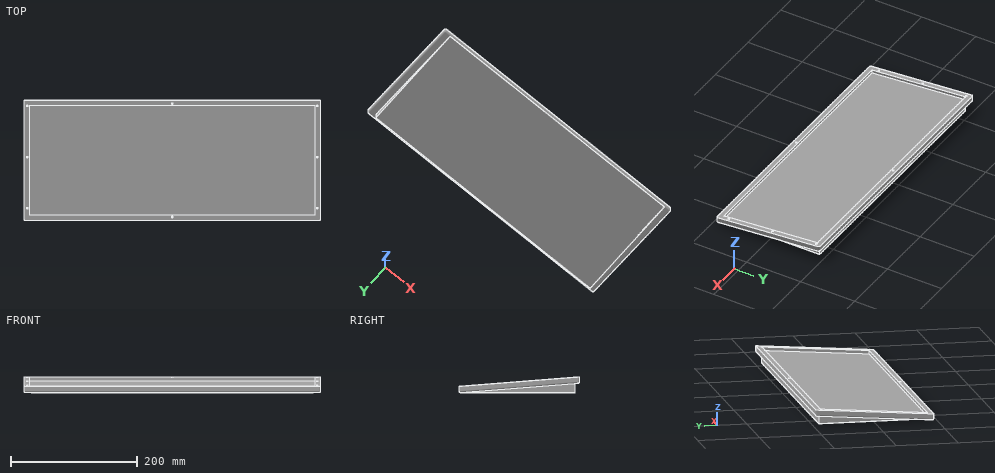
import cadquery as cq
import math

tray_length = 470
tray_depth = 191.0
tray_height = 25.5
slope_angle = 4.5
edge_radius = 2.5

rim_width = 9.0
recess_depth = 5.5

hole_diameter = 2.5
hole_depth = 7.0
hole_inset = 5.5
side_hole_pitch = 81.0
side_hole_shift = 5.0

wedge_back_inset = 7.0
wedge_side_inset = 12.0

slope = math.tan(math.radians(slope_angle))
tray_thickness = tray_height - tray_depth * slope


def underside_height(y):
    """Height of the tray underside, which meets the ground at the front edge."""
    return (y + tray_depth / 2) * slope


def sloping_slab(length, depth, bottom_offset, top_offset):
    """Centred slab with vertical sides; offsets are heights above the tray underside."""
    front_y = -depth / 2
    back_y = depth / 2
    side_outline = [
        (front_y, underside_height(front_y) + bottom_offset),
        (back_y, underside_height(back_y) + bottom_offset),
        (back_y, underside_height(back_y) + top_offset),
        (front_y, underside_height(front_y) + top_offset),
    ]
    return (
        cq.Workplane("YZ", origin=(-length / 2, 0, 0))
        .polyline(side_outline)
        .close()
        .extrude(length)
    )


def make_tray():
    """Tray with rounded corners, a rounded lower edge and a rectangular recess."""
    tray = sloping_slab(tray_length, tray_depth, 0, tray_thickness)
    tray = tray.edges("|Z").fillet(edge_radius)
    underside_normal = cq.Vector(0, slope, -1)
    tray = tray.faces(cq.selectors.DirectionSelector(underside_normal)).edges().fillet(edge_radius)
    recess = sloping_slab(
        tray_length - 2 * rim_width,
        tray_depth - 2 * rim_width,
        tray_thickness - recess_depth,
        tray_thickness,
    )
    return tray.cut(recess)


def make_rim_holes():
    """Blind vertical holes: three along each short side and one mid-way along each long side."""
    side_x = tray_length / 2 - hole_inset
    end_y = tray_depth / 2 - hole_inset
    points = [(0, -end_y), (0, end_y)]
    for x in (-side_x, side_x):
        for step in (-1, 0, 1):
            points.append((x, side_hole_shift + step * side_hole_pitch))
    holes = cq.Workplane("XY")
    for x, y in points:
        hole_bottom = underside_height(y) + tray_thickness - hole_depth
        hole = (
            cq.Workplane("XY", origin=(x, y, hole_bottom))
            .circle(hole_diameter / 2)
            .extrude(2 * hole_depth)
        )
        holes = holes.add(hole)
    return holes.combine()


def make_wedge():
    """Solid wedge between the ground and the flat part of the tray underside."""
    start_y = -tray_depth / 2 + edge_radius
    back_y = tray_depth / 2 - wedge_back_inset
    half_width = tray_length / 2 - wedge_side_inset
    side_outline = [
        (start_y, 0),
        (back_y, 0),
        (back_y, underside_height(back_y)),
        (start_y, underside_height(start_y)),
    ]
    return (
        cq.Workplane("YZ", origin=(-half_width, 0, 0))
        .polyline(side_outline)
        .close()
        .extrude(2 * half_width)
    )


result = make_tray().cut(make_rim_holes()).union(make_wedge())